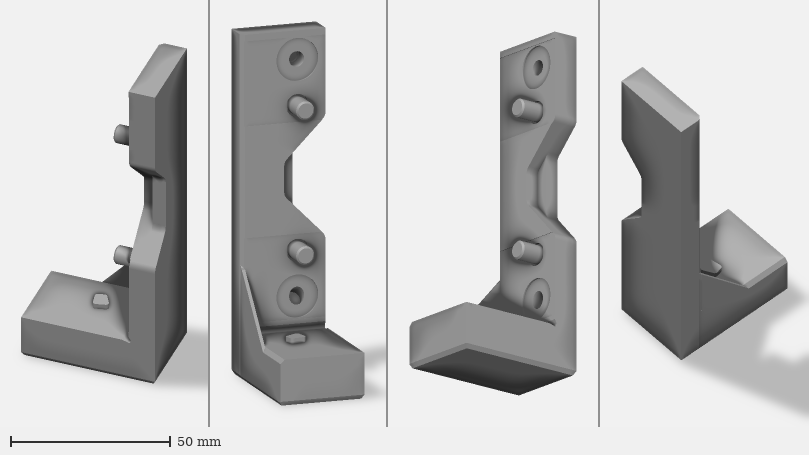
import cadquery as cq
import math

LENGTH = 45.0
WIDTH = 28.2
HEIGHT = 111.6

PLATE_THICKNESS = 8.9
PLATE_FACE_X = LENGTH - PLATE_THICKNESS
BASE_HEIGHT = 15.0
BASE_WIDTH = 28.0
BOTTOM_CHAMFER_HEIGHT = 1.5
BOTTOM_CHAMFER_INSET = BOTTOM_CHAMFER_HEIGHT * math.tan(math.radians(30))
SIDE_CHAMFER = 1.3

RELIEF_RUN = 2.2
RELIEF_RISE = 1.8
RELIEF_SIDE_DROP = 1.1
RELIEF_SIDE_DEPTH = RELIEF_SIDE_DROP * math.tan(math.radians(30))
RELIEF_RAMP_RUN = 1.8
RELIEF_RAMP_DROP = RELIEF_RAMP_RUN * math.tan(math.radians(15))
RELIEF_ARC_OFFSET = 0.6
RELIEF_ARC_DROP = 0.5

GUSSET_FOOT_X = 17.5
GUSSET_TOP_Z = 35.7
GUSSET_SLOPE = (GUSSET_TOP_Z - BASE_HEIGHT) / (PLATE_FACE_X - GUSSET_FOOT_X)
GUSSET_INNER_Y = WIDTH - SIDE_CHAMFER

MID_Z = 63.8
FEATURE_Y = 9.4

BAND_INNER = 18.1
BAND_OUTER = 45.6
BAND_DEPTH = 0.2

NOTCH_MOUTH_HALF = 19.3
NOTCH_FRONT_DEPTH = 13.8
NOTCH_BACK_DEPTH = 9.5
NOTCH_STEP_X = PLATE_FACE_X + PLATE_THICKNESS / 2
NOTCH_RADIUS = 3.0

HOLE_OFFSET = 38.3
HOLE_DIAMETER = 5.0
HOLE_DEPTH = 6.0
HOLE_END_DIAMETER = 4.5
HOLE_END_DEPTH = 7.0
LOWER_HOLE_LENGTH = 4.6
LOWER_HOLE_TILT = 30.0
SPOT_DIAMETER = 14.0
SPOT_DEPTH = 0.9

PIN_OFFSET = 23.4
PIN_DIAMETER = 6.0
PIN_PROTRUSION = 7.6
PIN_SEAT_DEPTH = 6.0
PIN_CHAMFER = 0.6
RING_DIAMETER = 7.4
RING_WIDTH = 6.6
RING_DEPTH = 1.1

PAD_CORNERS = [(19.2, 12.4), (24.5, 13.6), (21.8, 18.6), (18.2, 17.7)]
PAD_HEIGHT = 1.8
PAD_RADIUS = 1.0


def box_between(x0, x1, y0, y1, z0, z1):
    return cq.Workplane("XY").box(x1 - x0, y1 - y0, z1 - z0, centered=False).translate((x0, y0, z0))


def cylinder_along_x(diameter, x0, x1, z):
    plane = cq.Workplane("YZ", origin=(x0, FEATURE_Y, z))
    return plane.circle(diameter / 2).extrude(x1 - x0)


def make_gusset():
    """Triangular web that continues into the chamfers of the base and the plate."""
    foot_x = GUSSET_FOOT_X - SIDE_CHAMFER / GUSSET_SLOPE
    foot_z = BASE_HEIGHT - SIDE_CHAMFER
    heel_x = PLATE_FACE_X + SIDE_CHAMFER
    heel_z = GUSSET_TOP_Z + SIDE_CHAMFER * GUSSET_SLOPE
    return (
        cq.Workplane("XZ", origin=(0, GUSSET_INNER_Y, 0))
        .polyline([(foot_x, foot_z), (heel_x, foot_z), (heel_x, heel_z)])
        .close()
        .extrude(GUSSET_INNER_Y - BASE_WIDTH)
    )


def make_body():
    """Base, plate and web, with chamfers along the +Y edges of the inside faces."""
    base = box_between(0, LENGTH, 0, BASE_WIDTH, 0, BASE_HEIGHT)
    base = base.faces(">Z").edges(">Y").chamfer(SIDE_CHAMFER)
    plate = box_between(PLATE_FACE_X, LENGTH, 0, WIDTH, 0, HEIGHT)
    plate = plate.edges("|Z and >Y and <X").chamfer(SIDE_CHAMFER)
    return base.union(plate).union(make_gusset())


def make_bottom_envelope():
    """Outer block whose tapered foot trims the underside edges on all four sides."""
    inset = BOTTOM_CHAMFER_INSET
    foot = (
        cq.Workplane("XY", origin=(LENGTH / 2, WIDTH / 2, 0))
        .rect(LENGTH - 2 * inset, WIDTH - 2 * inset)
        .workplane(offset=BOTTOM_CHAMFER_HEIGHT)
        .rect(LENGTH, WIDTH)
        .loft(ruled=True)
    )
    return foot.union(box_between(0, LENGTH, 0, WIDTH, BOTTOM_CHAMFER_HEIGHT, HEIGHT))


def make_relief():
    """Groove with a shallow ramp in the base, a round bottom and a steep flank in the plate."""
    ramp_end = (PLATE_FACE_X - RELIEF_RUN + RELIEF_RAMP_RUN, BASE_HEIGHT - RELIEF_RAMP_DROP)
    arc_mid = (PLATE_FACE_X + RELIEF_ARC_OFFSET, BASE_HEIGHT - RELIEF_ARC_DROP)
    arc_end = (PLATE_FACE_X + RELIEF_SIDE_DEPTH, BASE_HEIGHT + RELIEF_RISE - RELIEF_SIDE_DROP)
    return (
        cq.Workplane("XZ")
        .moveTo(PLATE_FACE_X - RELIEF_RUN, BASE_HEIGHT)
        .lineTo(*ramp_end)
        .threePointArc(arc_mid, arc_end)
        .lineTo(PLATE_FACE_X, BASE_HEIGHT + RELIEF_RISE)
        .close()
        .extrude(-GUSSET_INNER_Y)
    )


def make_notch(depth, x0, x1):
    """Trapezoidal cutter with rounded corners that also clears the space outside the edge."""
    floor_half = NOTCH_MOUTH_HALF - depth
    outside = NOTCH_MOUTH_HALF + NOTCH_RADIUS
    plate_edge = [
        (-NOTCH_RADIUS, MID_Z - outside),
        (0, MID_Z - outside),
        (0, MID_Z - NOTCH_MOUTH_HALF),
        (depth, MID_Z - floor_half),
        (depth, MID_Z + floor_half),
        (0, MID_Z + NOTCH_MOUTH_HALF),
        (0, MID_Z + outside),
        (-NOTCH_RADIUS, MID_Z + outside),
    ]
    notch = cq.Workplane("YZ", origin=(x0, 0, 0)).polyline(plate_edge).close().extrude(x1 - x0)
    corners = cq.selectors.BoxSelector(
        (x0, -NOTCH_RADIUS / 2, MID_Z - outside + NOTCH_RADIUS / 2),
        (x1, depth + NOTCH_RADIUS / 2, MID_Z + outside - NOTCH_RADIUS / 2),
    )
    return notch.edges("|X").edges(corners).fillet(NOTCH_RADIUS)


def make_band(side):
    """Band above (side = 1) or below (side = -1) the middle of the plate."""
    near = MID_Z + side * BAND_INNER
    far = MID_Z + side * BAND_OUTER
    return box_between(PLATE_FACE_X, PLATE_FACE_X + BAND_DEPTH, 0, WIDTH, min(near, far), max(near, far))


def make_upper_hole():
    """Spot-faced blind hole with a narrower end."""
    z = MID_Z + HOLE_OFFSET
    spot = cylinder_along_x(SPOT_DIAMETER, PLATE_FACE_X, PLATE_FACE_X + SPOT_DEPTH, z)
    bore = cylinder_along_x(HOLE_DIAMETER, PLATE_FACE_X, PLATE_FACE_X + HOLE_DEPTH, z)
    bore_end = cylinder_along_x(HOLE_END_DIAMETER, PLATE_FACE_X, PLATE_FACE_X + HOLE_END_DEPTH, z)
    return spot.union(bore).union(bore_end)


def make_lower_hole():
    """Spot-faced hole that runs downward into the plate."""
    z = MID_Z - HOLE_OFFSET
    x = PLATE_FACE_X + SPOT_DEPTH
    spot = cylinder_along_x(SPOT_DIAMETER, PLATE_FACE_X, x, z)
    bore = cylinder_along_x(HOLE_DIAMETER, x - HOLE_DIAMETER / 2, x + LOWER_HOLE_LENGTH, z)
    bore = bore.rotate((x, 0, z), (x, 1, z), LOWER_HOLE_TILT)
    return spot.union(bore)


def make_pin_seat(z):
    """Pin hole whose round mouth has a flat on each Y side."""
    ring = cylinder_along_x(RING_DIAMETER, PLATE_FACE_X, PLATE_FACE_X + RING_DEPTH, z)
    ring = ring.intersect(
        box_between(
            PLATE_FACE_X,
            PLATE_FACE_X + RING_DEPTH,
            FEATURE_Y - RING_WIDTH / 2,
            FEATURE_Y + RING_WIDTH / 2,
            z - RING_DIAMETER / 2,
            z + RING_DIAMETER / 2,
        )
    )
    return ring.union(cylinder_along_x(PIN_DIAMETER, PLATE_FACE_X, PLATE_FACE_X + PIN_SEAT_DEPTH, z))


def make_pad():
    pad = cq.Workplane("XY", origin=(0, 0, BASE_HEIGHT)).polyline(PAD_CORNERS).close().extrude(PAD_HEIGHT)
    return pad.edges("|Z").fillet(PAD_RADIUS)


def make_bracket():
    bracket = make_body().intersect(make_bottom_envelope())
    for side in (-1, 1):
        bracket = bracket.cut(make_band(side))
        bracket = bracket.cut(make_pin_seat(MID_Z + side * PIN_OFFSET))
    bracket = bracket.cut(make_relief())
    bracket = bracket.cut(make_notch(NOTCH_FRONT_DEPTH, PLATE_FACE_X, NOTCH_STEP_X))
    bracket = bracket.cut(make_notch(NOTCH_BACK_DEPTH, NOTCH_STEP_X, LENGTH))
    bracket = bracket.cut(make_upper_hole()).cut(make_lower_hole())
    return bracket.union(make_pad())


def make_pin(z):
    pin = cylinder_along_x(PIN_DIAMETER, PLATE_FACE_X - PIN_PROTRUSION, PLATE_FACE_X + PIN_SEAT_DEPTH, z)
    return pin.faces("<X").chamfer(PIN_CHAMFER)


bracket = make_bracket()
pins = [make_pin(MID_Z + side * PIN_OFFSET) for side in (-1, 1)]

result = cq.Compound.makeCompound([bracket.val(), *[pin.val() for pin in pins]])